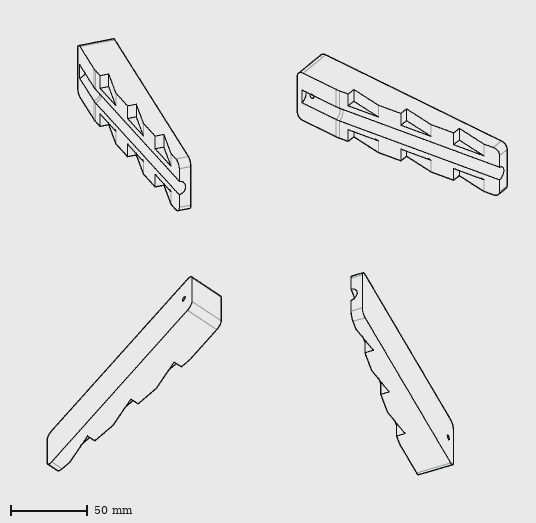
import cadquery as cq
import math

length = 155.2
thickness = 24.2
height = 40.0
tip_thickness = 8.0
corner_radius = 4.8

bend_x = 33.7
bend_radius = 21.1
ramp_slope = (thickness - tip_thickness) / (length - bend_x)
ramp_angle = math.atan(ramp_slope)
back_y = thickness / 2
front_y = -thickness / 2

groove_start = 4.0
groove_width = 10.7
groove_depth = 4.3
hole_x = 8.8
hole_diameter = 3.3

notch_count = 3
notch_start = 41.5
notch_pitch = 39.6
notch_length = 22.7
notch_height = 10.0

overrun = 7.8


def ramp_y(x):
    """Y of the ramp plane at a given distance from the thick end."""
    return front_y + ramp_slope * (x - bend_x)


def wedge_block():
    """Wedge outline in plan, with a rounded bend and rounded corners."""
    block = (
        cq.Workplane("XY")
        .workplane(offset=-height / 2)
        .moveTo(0, front_y)
        .lineTo(bend_x, front_y)
        .lineTo(length, ramp_y(length))
        .lineTo(length, back_y)
        .lineTo(0, back_y)
        .close()
        .extrude(height)
    )
    bend_box = cq.selectors.BoxSelector(
        (bend_x - overrun, front_y - overrun, -height),
        (bend_x + overrun, front_y + overrun, height),
    )
    block = block.edges(bend_box).fillet(bend_radius)
    envelope = (
        cq.Workplane("XZ", origin=(length / 2, 0, 0))
        .rect(length, height)
        .extrude(thickness / 2, both=True)
        .edges("|Y")
        .fillet(corner_radius)
    )
    return block.intersect(envelope)


def groove_cutter():
    """Circular-segment channel swept along the flat, the bend and the ramp."""
    tangent_length = bend_radius * math.tan(ramp_angle / 2)
    half_angle = ramp_angle / 2
    arc_start = (bend_x - tangent_length, front_y)
    arc_middle = (
        arc_start[0] + bend_radius * math.sin(half_angle),
        front_y + bend_radius * (1 - math.cos(half_angle)),
    )
    arc_end = (
        arc_start[0] + bend_radius * math.sin(ramp_angle),
        front_y + bend_radius * (1 - math.cos(ramp_angle)),
    )
    path_end = length + overrun
    path = (
        cq.Workplane("XY")
        .moveTo(groove_start, front_y)
        .lineTo(*arc_start)
        .threePointArc(arc_middle, arc_end)
        .lineTo(path_end, ramp_y(path_end))
    )
    half_width = groove_width / 2
    return (
        cq.Workplane("YZ", origin=(groove_start, front_y, 0))
        .moveTo(-overrun, -half_width)
        .lineTo(0, -half_width)
        .threePointArc((groove_depth, 0), (0, half_width))
        .lineTo(-overrun, half_width)
        .close()
        .sweep(path)
    )


def notch_cutter(start_x, z_bottom):
    """Triangular notch whose floor slopes opposite to the ramp."""
    end_x = start_x + notch_length
    floor_y = ramp_y(end_x) + ramp_slope * notch_length
    return (
        cq.Workplane("XY")
        .workplane(offset=z_bottom)
        .moveTo(start_x, floor_y)
        .lineTo(end_x, ramp_y(end_x))
        .lineTo(start_x, ramp_y(start_x))
        .close()
        .extrude(notch_height)
    )


result = wedge_block().cut(groove_cutter())

for index in range(notch_count):
    notch_x = notch_start + index * notch_pitch
    for notch_bottom in (-height / 2, height / 2 - notch_height):
        result = result.cut(notch_cutter(notch_x, notch_bottom))

through_hole = (
    cq.Workplane("XZ", origin=(hole_x, 0, 0))
    .circle(hole_diameter / 2)
    .extrude(thickness, both=True)
)
result = result.cut(through_hole)